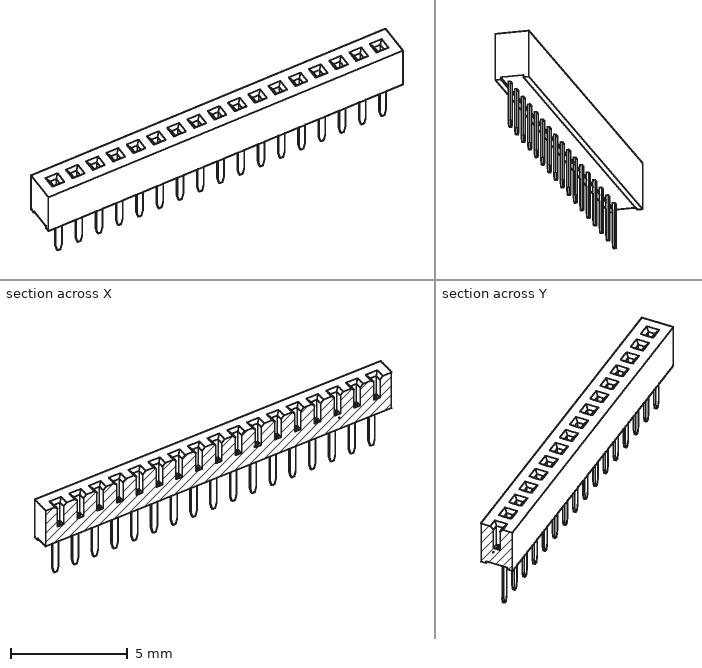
import cadquery as cq

length = 17.5
width = 1.5
total_height = 4.0
housing_height = 2.1
foot_height = 0.1
foot_width = 0.25

contact_count = 17
end_margin = width / 2
pitch = (length - 2 * end_margin) / (contact_count - 1)

pin_thickness = 0.1
pin_width = 0.3
pin_offset = 0.3
tip_width = pin_width / 2
tip_length = pin_width

mouth_size = 0.6
throat_size = mouth_size / 2
funnel_depth = (mouth_size - throat_size) / 2
throat_depth = 1.0
slot_length_x = 0.1
slot_length_y = 0.12
slot_depth = 0.35

pin_bottom = housing_height - total_height
throat_top = housing_height - funnel_depth
throat_floor = throat_top - throat_depth


def make_housing():
    """Long block with the underside relieved between two full-length feet."""
    on_base = (True, True, False)
    block = cq.Workplane("XY").box(width, length, housing_height, centered=on_base)
    relief_width = width - 2 * foot_width
    relief = cq.Workplane("XY").box(relief_width, length, foot_height, centered=on_base)
    return block.cut(relief)


def make_straight_hole(size_x, size_y, top, depth):
    """Rectangular prism reaching down from the given level."""
    return cq.Workplane("XY", origin=(0, 0, top)).rect(size_x, size_y).extrude(-depth)


def make_socket():
    """Tapered square mouth, straight throat and a narrow slot in its floor."""
    funnel = (
        cq.Workplane("XY", origin=(0, 0, housing_height))
        .rect(mouth_size, mouth_size)
        .workplane(offset=-funnel_depth)
        .rect(throat_size, throat_size)
        .loft()
    )
    throat = make_straight_hole(throat_size, throat_size, throat_top, throat_depth)
    slot = make_straight_hole(slot_length_x, slot_length_y, throat_floor, slot_depth)
    return funnel.union(throat).union(slot)


def make_pin():
    """Flat pin hanging from the relieved underside, narrowing to a blunt tip."""
    shoulder = pin_bottom + tip_length
    outline = [
        (-pin_width / 2, foot_height),
        (-pin_width / 2, shoulder),
        (-tip_width / 2, pin_bottom),
        (tip_width / 2, pin_bottom),
        (pin_width / 2, shoulder),
        (pin_width / 2, foot_height),
    ]
    return (
        cq.Workplane("YZ", origin=(pin_offset, 0, 0))
        .polyline(outline)
        .close()
        .extrude(pin_thickness / 2, both=True)
    )


result = make_housing()
socket = make_socket()
pin = make_pin()
for index in range(contact_count):
    contact_y = end_margin - length / 2 + index * pitch
    result = result.cut(socket.translate((0, contact_y, 0)))
    result = result.union(pin.translate((0, contact_y, 0)))